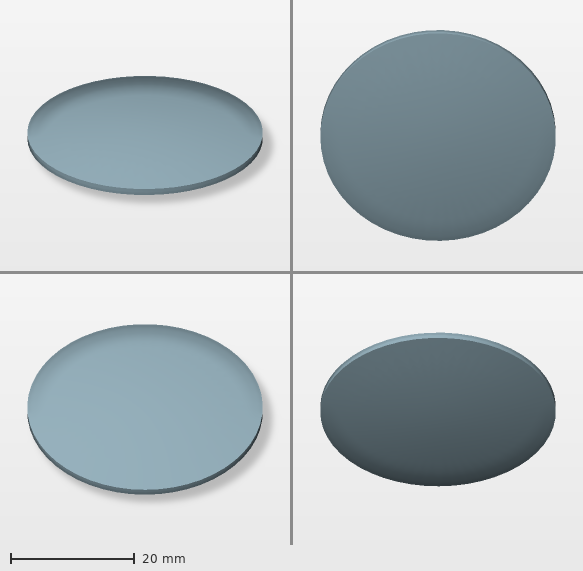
import cadquery as cq
import math

diameter = 38.1
center_thickness = 4.85
edge_thickness = 1.1

radius = diameter / 2
half_center = center_thickness / 2
half_edge = edge_thickness / 2
sag = half_center - half_edge
sphere_radius = (radius**2 + sag**2) / (2 * sag)

mid_x = radius / 2
mid_z = half_center - sphere_radius + math.sqrt(sphere_radius**2 - mid_x**2)

half_section = (
    cq.Workplane("XZ")
    .moveTo(0, -half_center)
    .threePointArc((mid_x, -mid_z), (radius, -half_edge))
    .lineTo(radius, half_edge)
    .threePointArc((mid_x, mid_z), (0, half_center))
    .close()
)

result = half_section.revolve(360, (0, 0), (0, 1))